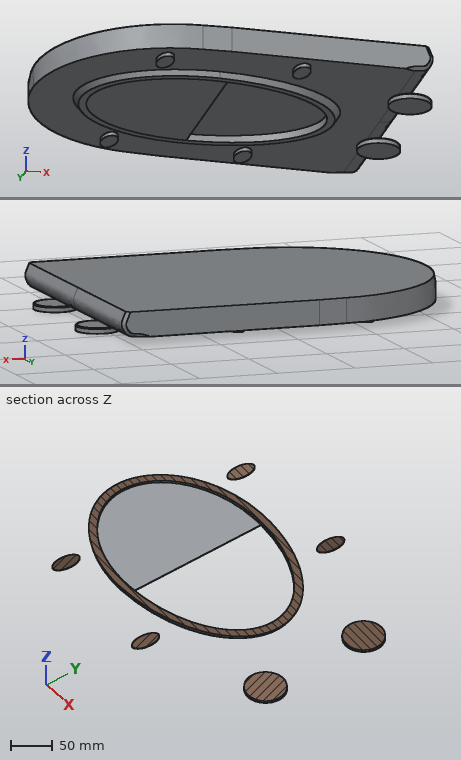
import cadquery as cq
import math

OVERALL_LENGTH = 478.5

NOSE_RADIUS = 172.5
NOSE_END_X = 167.5
SIDE_START_X = 203.0
HALF_WIDTH = 174.5
LID_FRONT_HEIGHT = 31.0
LID_BACK_HEIGHT = 32.0
BACK_START_DIRECTION = (6, 1)
BACK_END_DIRECTION = (-1, 2.5)
BACK_MARGIN = 5.0
NOSE_CLEARANCE = 5.0
NOSE_RIM = [(0, 0), (16.5, 0.25), (26.0, 1.0), (LID_BACK_HEIGHT, 3.5)]
BACK_CORNER_CHAMFER = 4.5
BACK_TOP_X = 450.0
BACK_BULGE = (455.5, 15.5)
BACK_LOWER = (448.0, 3.0)
BACK_BOTTOM_X = 433.0

RING_MIDDLE_X = 205.5
RING_FRONT_X = 53.0
RING_BACK_X = 382.5
RING_HALF_WIDTH = 108.0
RING_END_TAPER = 6.5
RING_SIDE_TAPER = 1.0
RING_FRONT_DEPTH = 6.5
RING_BACK_DEPTH = 10.0
RING_WALL = 9.5

PAD_WIDTH = 20.0
PAD_LENGTH = 39.0
PAD_DEPTH = 5.0
PAD_CENTRES = [(130.5, 133.0), (299.5, 140.5)]

DISC_RADIUS = 26.5
DISC_DEPTH = 7.0
DISC_CHAMFER = 1.5
DISC_X = OVERALL_LENGTH - DISC_RADIUS
DISC_Y = 74.5


def lid_outline(z, tip_x):
    """Closed plan outline at height z, with the nose tip pulled back to tip_x."""
    half_angle = math.acos((NOSE_RADIUS - NOSE_END_X) / NOSE_RADIUS)
    nose_end_y = NOSE_RADIUS * math.sin(half_angle)
    shoulder_x = NOSE_RADIUS * (1 - math.cos(half_angle / 2))
    shoulder_x += tip_x * math.cos(half_angle / 2)
    shoulder_y = NOSE_RADIUS * math.sin(half_angle / 2)
    outline = (
        cq.Workplane("XY", origin=(0, 0, z))
        .moveTo(tip_x, 0)
        .threePointArc((shoulder_x, shoulder_y), (NOSE_END_X, nose_end_y))
        .lineTo(SIDE_START_X, HALF_WIDTH)
        .lineTo(BACK_BULGE[0] + BACK_MARGIN, HALF_WIDTH)
        .lineTo(BACK_BULGE[0] + BACK_MARGIN, -HALF_WIDTH)
        .lineTo(SIDE_START_X, -HALF_WIDTH)
        .lineTo(NOSE_END_X, -nose_end_y)
        .threePointArc((shoulder_x, -shoulder_y), (tip_x, 0))
        .close()
    )
    return outline.wire().val()


def make_lid():
    """D-shaped plate cut to a slightly sloping side profile with a bulged back."""
    sections = [lid_outline(z, tip_x) for z, tip_x in NOSE_RIM]
    plan = cq.Workplane(cq.Solid.makeLoft(sections))
    profile = (
        cq.Workplane("XZ")
        .lineTo(BACK_BOTTOM_X, 0)
        .spline([BACK_LOWER, BACK_BULGE, (BACK_TOP_X, LID_BACK_HEIGHT)],
                tangents=[BACK_START_DIRECTION, BACK_END_DIRECTION], includeCurrent=True)
        .lineTo(0, LID_FRONT_HEIGHT)
        .lineTo(-NOSE_CLEARANCE, LID_FRONT_HEIGHT)
        .lineTo(-NOSE_CLEARANCE, 0)
        .close()
        .extrude(HALF_WIDTH, both=True)
    )
    lid = plan.intersect(profile)
    return cut_back_corners(lid)


def cut_back_corners(lid):
    """Bevel both ends of the bulged back, following its curve."""
    back_edges = lid.faces("<Y or >Y").edges(">X")
    return back_edges.chamfer(BACK_CORNER_CHAMFER)


def egg_wire(inset_end, inset_side, front_depth, back_depth):
    """Closed egg outline of two half ellipses, lying on a plane tilted about Y."""
    front = RING_MIDDLE_X - RING_FRONT_X - inset_end
    back = RING_BACK_X - RING_MIDDLE_X - inset_end
    half_width = RING_HALF_WIDTH - inset_side
    slope = (back_depth - front_depth) / (front + back)
    middle_depth = front_depth + slope * front
    middle = (RING_MIDDLE_X, 0, -middle_depth)
    tilted = cq.Plane(middle, xDir=(1, 0, -slope), normal=(slope, 0, 1))
    outline = (
        cq.Workplane(tilted)
        .moveTo(0, half_width)
        .ellipseArc(front, half_width, 90, 270, startAtCurrent=True)
        .ellipseArc(back, half_width, 270, 90, startAtCurrent=True)
    )
    return outline.wire().val()


def make_ring():
    """Tapered egg-shaped wall, open through the middle."""
    outer = cq.Solid.makeLoft([
        egg_wire(0, 0, 0, 0),
        egg_wire(RING_END_TAPER, RING_SIDE_TAPER, RING_FRONT_DEPTH, RING_BACK_DEPTH),
    ], True)
    end_inset = RING_END_TAPER + RING_WALL
    side_inset = RING_SIDE_TAPER + RING_WALL
    opening = cq.Solid.makeLoft([
        egg_wire(end_inset, side_inset, 0, 0),
        egg_wire(end_inset, side_inset, RING_FRONT_DEPTH, RING_BACK_DEPTH),
    ], True)
    return cq.Workplane(outer).cut(cq.Workplane(opening))


def make_pad(x, y):
    """Elliptical pad, longest along Y, against the lid underside."""
    return (
        cq.Workplane("XY")
        .center(x, y)
        .ellipse(PAD_WIDTH / 2, PAD_LENGTH / 2)
        .extrude(-PAD_DEPTH)
    )


def make_disc(y):
    """Flat hinge disc with a bevelled upper rim."""
    return (
        cq.Workplane("XY")
        .center(DISC_X, y)
        .circle(DISC_RADIUS)
        .extrude(-DISC_DEPTH)
        .faces(">Z")
        .chamfer(DISC_CHAMFER)
    )


lid = make_lid()
ring = make_ring()
pads = [make_pad(x, side * y).val() for x, y in PAD_CENTRES for side in (-1, 1)]
discs = [make_disc(side * DISC_Y).val() for side in (-1, 1)]

result = cq.Compound.makeCompound([lid.val(), ring.val(), *pads, *discs])